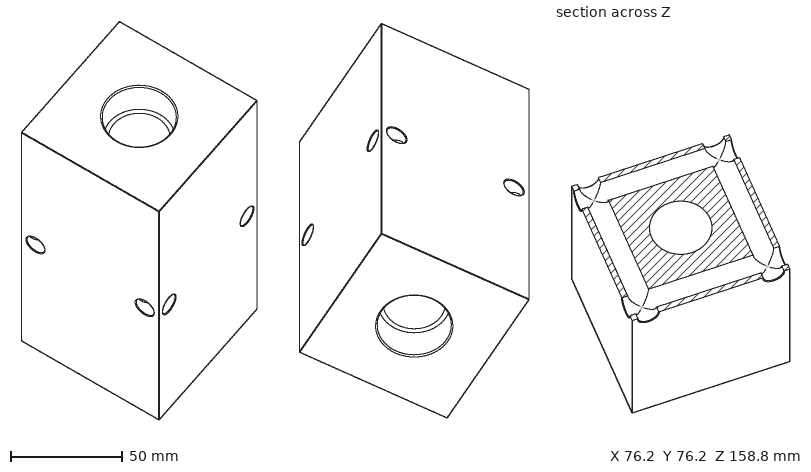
import cadquery as cq

HEIGHT = 158.8
WIDTH = 76.2
EDGE_CHAMFER = 0.25

BORE_DIAMETER = 28.0
PORT_OUTER_DIAMETER = 33.3
PORT_INNER_DIAMETER = 32.4
PORT_DEPTH = 16.7
PORT_MOUTH_DIAMETER = 34.8
PORT_CHAMFER = (PORT_MOUTH_DIAMETER - PORT_OUTER_DIAMETER) / 2

CROSS_HOLE_DIAMETER = 9.8
CROSS_HOLE_OFFSET = 30.2
CROSS_HOLE_CHAMFER = 0.38


def make_block():
    """Square block with all outer edges broken by a small chamfer."""
    return cq.Workplane("XY").box(WIDTH, WIDTH, HEIGHT).edges().chamfer(EDGE_CHAMFER)


def make_bore():
    """Through bore with a port at both ends, as one turned volume about Z."""
    top = HEIGHT / 2
    shelf = top - PORT_DEPTH
    upper_half = (
        cq.Workplane("XZ")
        .lineTo(BORE_DIAMETER / 2, 0)
        .lineTo(BORE_DIAMETER / 2, shelf)
        .lineTo(PORT_INNER_DIAMETER / 2, shelf)
        .lineTo(PORT_OUTER_DIAMETER / 2, top - PORT_CHAMFER)
        .lineTo(PORT_MOUTH_DIAMETER / 2, top)
        .lineTo(0, top)
        .close()
        .revolve(360, (0, 0), (0, 1))
    )
    return upper_half.union(upper_half.mirror("XY"))


def make_cross_hole(offset):
    """Hole along X at the given Y offset, countersunk at both faces."""
    half_width = WIDTH / 2
    radius = CROSS_HOLE_DIAMETER / 2
    mouth_radius = radius + CROSS_HOLE_CHAMFER
    return (
        cq.Workplane("XY")
        .moveTo(-half_width, 0)
        .lineTo(-half_width, mouth_radius)
        .lineTo(-half_width + CROSS_HOLE_CHAMFER, radius)
        .lineTo(half_width - CROSS_HOLE_CHAMFER, radius)
        .lineTo(half_width, mouth_radius)
        .lineTo(half_width, 0)
        .close()
        .revolve(360, (0, 0), (1, 0))
        .translate((0, offset, 0))
    )


result = make_block().cut(make_bore())
for side in (-1, 1):
    hole_along_x = make_cross_hole(side * CROSS_HOLE_OFFSET)
    hole_along_y = hole_along_x.rotate((0, 0, 0), (0, 0, 1), 90)
    result = result.cut(hole_along_x).cut(hole_along_y)